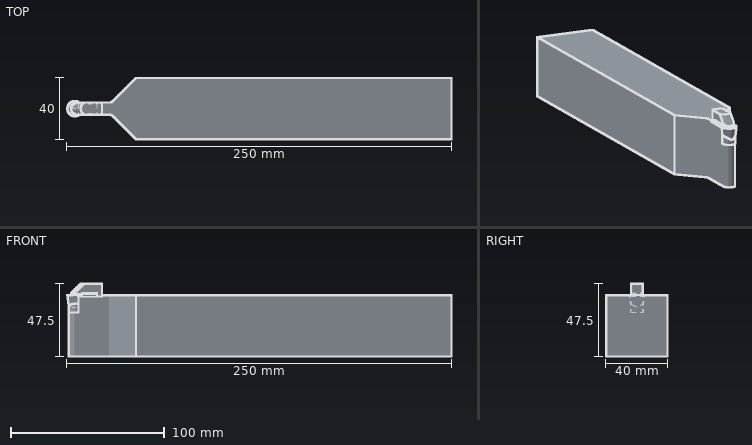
import cadquery as cq
import math


TOOL_LENGTH = 250.0
SHANK_SIZE = 40.0
SHOULDER_X = 44.8
BLADE_WIDTH = 8.0
BLADE_FILLET = 3.2

INSERT_RADIUS = 5.0
RELIEF_ANGLE = 7.0
INSERT_BACK_X = 7.2
INSERT_DEPTH = 8.0
VEE_SLOPE = 30.0
SEAT_RADIUS = 4.2
SEAT_DEPTH = 11.2

CLAMP_TOP = 7.5
CLAMP_WIDTH = 7.8
CLAMP_FRONT_X = 2.5
GAP_FRONT_X = 9.5
GAP_BACK_X = 19.2
CLAMP_BACK_X = 22.8
GAP_TOP = 0.8
UNDERSIDE_CHAMFER = 0.8
CLAMP_BACK_FILLET = 1.2
RAMP_TOP_X = 8.8
RAMP_CROWN_RADIUS = 5.5
RECESS_DEPTH = 0.8

half_shank = SHANK_SIZE / 2
half_blade = BLADE_WIDTH / 2
half_clamp = CLAMP_WIDTH / 2
nose_centre_x = INSERT_RADIUS
blade_front_x = nose_centre_x - half_blade
blade_root_x = SHOULDER_X - (half_shank - half_blade)
seat_centre_x = blade_front_x + SEAT_RADIUS


def make_round_nosed_bar(front_x, back_x, width, bottom_z, top_z):
    """Straight bar along X with a half-round front end."""
    radius = width / 2
    centre_x = front_x + radius
    return (
        cq.Workplane("XY", origin=(0, 0, bottom_z))
        .moveTo(back_x, -radius)
        .lineTo(centre_x, -radius)
        .threePointArc((front_x, 0), (centre_x, radius))
        .lineTo(back_x, radius)
        .close()
        .extrude(top_z - bottom_z)
    )


def make_bar(front_x, back_x, width, bottom_z, top_z):
    """Square-ended bar along X, centred on Y = 0."""
    return (
        cq.Workplane("XY", origin=(front_x, 0, bottom_z))
        .box(back_x - front_x, width, top_z - bottom_z, centered=(False, True, False))
    )


def make_shank():
    """Square shank with 45 degree shoulders, running into the thin blade."""
    shank = (
        cq.Workplane("XY")
        .polyline([
            (blade_root_x, -half_blade),
            (SHOULDER_X, -half_shank),
            (TOOL_LENGTH, -half_shank),
            (TOOL_LENGTH, half_shank),
            (SHOULDER_X, half_shank),
            (blade_root_x, half_blade),
        ])
        .close()
        .extrude(-SHANK_SIZE)
    )
    blade = make_round_nosed_bar(blade_front_x, blade_root_x, BLADE_WIDTH, -SHANK_SIZE, 0)
    body = shank.union(blade)
    for side in (-half_blade, half_blade):
        root_edge = cq.selectors.NearestToPointSelector((blade_root_x, side, -half_shank))
        body = body.edges("|Z").edges(root_edge).fillet(BLADE_FILLET)
    return body


def make_front_zone(depth):
    """Block around the nose, from the insert's back face forward, with its top at Z = 0."""
    return make_bar(-INSERT_RADIUS, INSERT_BACK_X, SHANK_SIZE, -depth, 0)


def make_vee_zone():
    """Block around the nose with the insert's V-shaped underside."""
    edge_z = -INSERT_DEPTH + half_shank * math.tan(math.radians(VEE_SLOPE))
    return (
        cq.Workplane("YZ", origin=(-INSERT_RADIUS, 0, 0))
        .polyline([
            (0, -INSERT_DEPTH),
            (half_shank, edge_z),
            (half_shank, SHANK_SIZE),
            (-half_shank, SHANK_SIZE),
            (-half_shank, edge_z),
        ])
        .close()
        .extrude(INSERT_BACK_X + INSERT_RADIUS)
    )


def make_insert():
    """Tapered round nose with a flat back and a V-shaped underside."""
    cone = (
        cq.Workplane("XY")
        .center(nose_centre_x, 0)
        .circle(INSERT_RADIUS)
        .extrude(-INSERT_DEPTH, taper=RELIEF_ANGLE)
    )
    return cone.intersect(make_front_zone(INSERT_DEPTH)).intersect(make_vee_zone())


def make_seat():
    """Round pillar carrying the insert, with a matching V groove on top."""
    pillar = (
        cq.Workplane("XY")
        .center(seat_centre_x, 0)
        .circle(SEAT_RADIUS)
        .extrude(-SEAT_DEPTH)
    )
    return pillar.intersect(make_front_zone(SEAT_DEPTH)).cut(make_vee_zone())


def make_ramp_zone():
    """Bar along the 45 degree ramp; its crowned upper side forms the sloping clamp front."""
    ramp_plane = cq.Plane(
        origin=(RAMP_TOP_X, 0, CLAMP_TOP),
        xDir=(0, 1, 0),
        normal=(1, 0, 1),
    )
    depth = CLAMP_BACK_X
    sag = RAMP_CROWN_RADIUS - math.sqrt(RAMP_CROWN_RADIUS**2 - half_clamp**2)
    return (
        cq.Workplane(ramp_plane)
        .moveTo(-half_clamp, -depth)
        .lineTo(-half_clamp, -sag)
        .threePointArc((0, 0), (half_clamp, -sag))
        .lineTo(half_clamp, -depth)
        .close()
        .extrude(depth, both=True)
    )


def make_clamp():
    """Clamp finger: round front foot on the insert, raised bridge and rear foot on the blade."""
    front_foot = (
        make_round_nosed_bar(CLAMP_FRONT_X, GAP_FRONT_X, CLAMP_WIDTH, 0, CLAMP_TOP)
        .edges("<Z and (not >X)")
        .chamfer(UNDERSIDE_CHAMFER)
    )
    bridge = (
        make_bar(GAP_FRONT_X, GAP_BACK_X, CLAMP_WIDTH, GAP_TOP, CLAMP_TOP)
        .edges("|X and <Z")
        .chamfer(UNDERSIDE_CHAMFER)
    )
    rear_foot = (
        make_bar(GAP_BACK_X, CLAMP_BACK_X, CLAMP_WIDTH, -RECESS_DEPTH, CLAMP_TOP)
        .edges("|Z and >X")
        .fillet(CLAMP_BACK_FILLET)
    )
    return front_foot.union(bridge).union(rear_foot).intersect(make_ramp_zone())


def make_holder():
    """Shank and blade with the insert seat and the clamp."""
    clamp_recess = make_bar(0, CLAMP_BACK_X, SHANK_SIZE, -RECESS_DEPTH, 0)
    return (
        make_shank()
        .cut(clamp_recess)
        .cut(make_front_zone(SEAT_DEPTH))
        .union(make_seat())
        .union(make_clamp())
    )


holder = make_holder()
insert = make_insert()

result = cq.Compound.makeCompound([*holder.solids().vals(), *insert.solids().vals()])